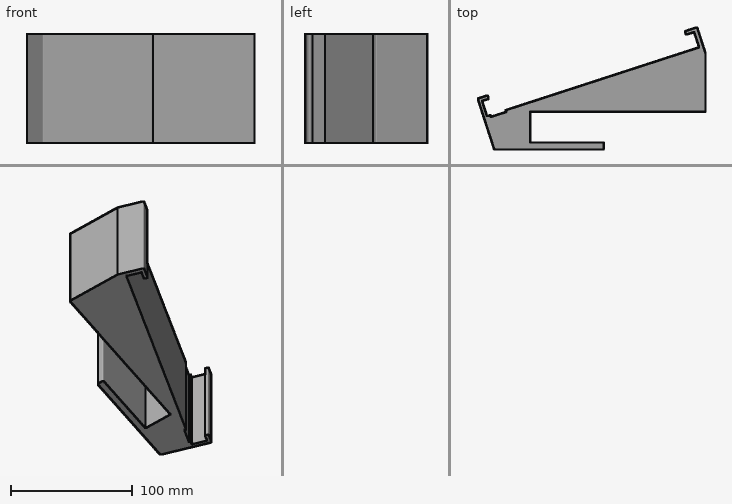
import cadquery as cq
import math

height = 90.0
tilt = 18.0

cradle_length = 183.3
cradle_depth = 13.0
lip_thickness = 3.2
left_wall = 3.0
right_wall = 3.7
left_lip_reach = 5.8
right_lip_reach = 7.0
groove_start = 2.8
groove_width = 13.2
groove_depth = 1.5
bed_corner_x = 7.85
bed_corner_y = 27.55

right_face_x = 187.67
tongue_thickness = 6.0
slot_height = 25.0
slot_back_x = 43.4
tongue_end_x = 103.9

edge_radius = 1.0

tilt_cos = math.cos(math.radians(tilt))
tilt_sin = math.sin(math.radians(tilt))
tilt_tan = math.tan(math.radians(tilt))


def bed_point(u, v):
    """Convert a position along and square to the bed into X and Y."""
    x = bed_corner_x + u * tilt_cos - v * tilt_sin
    y = bed_corner_y + u * tilt_sin + v * tilt_cos
    return (x, y)


slot_roof_y = tongue_thickness + slot_height
lip_top = cradle_depth + lip_thickness
groove_end = groove_start + groove_width
right_outer_u = cradle_length + right_wall

left_tip = bed_point(-left_wall, lip_top)
right_tip = bed_point(right_outer_u, lip_top)

base_corner = (left_tip[0] + left_tip[1] * tilt_tan, 0)
shoulder = (right_face_x, right_tip[1] - (right_face_x - right_tip[0]) / tilt_tan)

left_lip_end = [bed_point(left_lip_reach, lip_top), bed_point(left_lip_reach, cradle_depth)]
right_lip_u = cradle_length - right_lip_reach
right_lip_end = [bed_point(right_lip_u, cradle_depth), bed_point(right_lip_u, lip_top)]
tongue_end = [(tongue_end_x, 0), (tongue_end_x, tongue_thickness)]
body_corner = (right_face_x, slot_roof_y)

left_hook = [*left_lip_end, bed_point(0, cradle_depth), bed_point(0, 0)]
groove = [
    bed_point(groove_start, 0),
    bed_point(groove_start, -groove_depth),
    bed_point(groove_end, -groove_depth),
    bed_point(groove_end, 0),
]
right_hook = [bed_point(cradle_length, 0), bed_point(cradle_length, cradle_depth), *right_lip_end]
slot = [(slot_back_x, slot_roof_y), (slot_back_x, tongue_thickness)]

outline = [
    base_corner,
    left_tip,
    *left_hook,
    *groove,
    *right_hook,
    right_tip,
    shoulder,
    body_corner,
    *slot,
    *reversed(tongue_end),
]


def round_corners(body, corners):
    """Round the upright edges standing on the given outline corners."""
    for x, y in corners:
        edge = cq.selectors.NearestToPointSelector((x, y, height / 2))
        body = body.edges("|Z").edges(edge).fillet(edge_radius)
    return body


holder = cq.Workplane("XY").polyline(outline).close().extrude(height)
result = round_corners(
    holder,
    [base_corner, left_tip, right_tip, body_corner, *left_lip_end, *right_lip_end, *tongue_end],
)